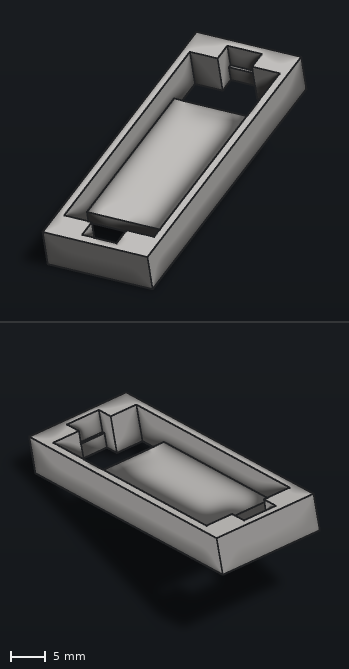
import cadquery as cq

width = 17.1
length = 47.6
height = 6.0
side_wall = 1.25
end_wall = 4.35

plate_length = 27.0
plate_thickness = 2.0

notch_width = 5.6
notch_depth = 3.02
ledge_depth = 0.5
ledge_height = 2.4

pitch = 14.8
yaw = -8.6

opening_width = width - 2 * side_wall
opening_length = length - 2 * end_wall


def block(x_size, y_size, z_size, base_z=0):
    """Box centred in X and Y, standing on base_z."""
    box = cq.Workplane("XY").box(x_size, y_size, z_size, centered=(True, True, False))
    return box.translate((0, 0, base_z))


def make_frame():
    """Rectangular frame with an open middle and a notch in both end walls."""
    outer = block(width, length, height)
    opening = block(opening_width, opening_length, height)
    lower_length = opening_length + 2 * (notch_depth - ledge_depth)
    lower_notches = block(notch_width, lower_length, ledge_height)
    upper_length = opening_length + 2 * notch_depth
    upper_notches = block(notch_width, upper_length, height - ledge_height, ledge_height)
    return outer.cut(opening).cut(lower_notches).cut(upper_notches)


def make_plate():
    """Floor plate bridging the two side walls, running to their outer faces."""
    return block(width, plate_length, plate_thickness)


level_part = make_frame().union(make_plate())
pitched_part = level_part.rotate((0, 0, 0), (1, 0, 0), pitch)
result = pitched_part.rotate((0, 0, 0), (0, 0, 1), yaw)